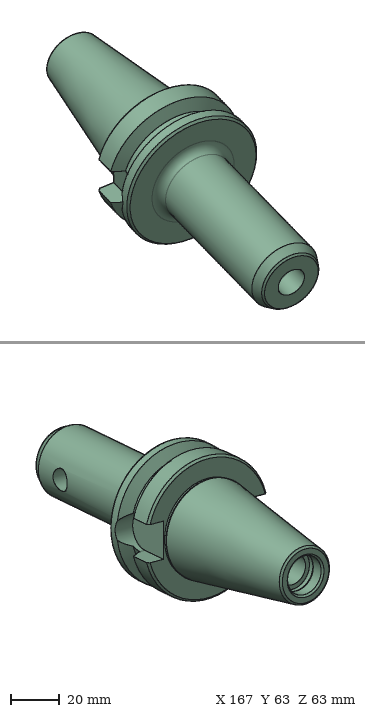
import cadquery as cq
import math

length = 167.0
flange_radius = 63.0 / 2

taper_slope = 7 / 48
gauge_radius = 22.2
taper_end_x = 65.5
nose_chamfer = 0.8
neck_radius = 44.0 / 2
neck_start_x = 66.1

flange_start_x = 67.1
flange_end_x = 92.2
flange_chamfer = 1.0
groove_start_x = 77.2
groove_end_x = 87.0
groove_floor_radius = 26.4
flank_angle = math.radians(60)

shank_radius = 15.9
shank_fillet = 4.0
tip_cone_length = 5.2
tip_cone_angle = math.radians(25)
tip_edge_chamfer = 0.8

slot_width = 16.7
slot_end_x = 88.2
slot_floor_y = 22.5

mouth_radius = 9.4
counterbore_radius = 17.0 / 2
counterbore_depth = 6.2
relief_radius = 17.5 / 2
relief_ramp = 0.7
relief_end_x = 9.2
thread_radius = 13.5 / 2
thread_end_x = 41.8
tool_bore_radius = 12.7 / 2

screw_hole_diameter = 9.7
screw_x = 147.0


def outer_body():
    """Revolve the outside outline about the X axis."""
    nose_radius = gauge_radius - taper_end_x * taper_slope
    chamfered_taper_radius = nose_radius + nose_chamfer * taper_slope
    flank_length = (flange_radius - groove_floor_radius) / math.tan(flank_angle)
    rim_radius = flange_radius - flange_chamfer
    cone_start_x = length - tip_cone_length
    edge_x = length - tip_edge_chamfer
    edge_radius = shank_radius - (edge_x - cone_start_x) * math.tan(tip_cone_angle)
    fillet_mid = shank_fillet * (1 - math.sqrt(0.5))

    outline = (
        cq.Workplane("XY")
        .moveTo(0, 0)
        .lineTo(0, nose_radius - nose_chamfer)
        .lineTo(nose_chamfer, chamfered_taper_radius)
        .lineTo(taper_end_x, gauge_radius)
        .lineTo(neck_start_x, neck_radius)
        .lineTo(flange_start_x, neck_radius)
        .lineTo(flange_start_x, rim_radius)
        .lineTo(flange_start_x + flange_chamfer, flange_radius)
        .lineTo(groove_start_x, flange_radius)
        .lineTo(groove_start_x + flank_length, groove_floor_radius)
        .lineTo(groove_end_x - flank_length, groove_floor_radius)
        .lineTo(groove_end_x, flange_radius)
        .lineTo(flange_end_x - flange_chamfer, flange_radius)
        .lineTo(flange_end_x, rim_radius)
        .lineTo(flange_end_x, shank_radius + shank_fillet)
        .threePointArc(
            (flange_end_x + fillet_mid, shank_radius + fillet_mid),
            (flange_end_x + shank_fillet, shank_radius),
        )
        .lineTo(cone_start_x, shank_radius)
        .lineTo(edge_x, edge_radius)
        .lineTo(length, edge_radius - tip_edge_chamfer)
        .lineTo(length, 0)
        .close()
    )
    return outline.revolve(360, (0, 0, 0), (1, 0, 0))


def axial_bores():
    """Stepped hole running through the whole part."""
    mouth_chamfer = mouth_radius - counterbore_radius
    outline = (
        cq.Workplane("XY")
        .moveTo(0, 0)
        .lineTo(0, mouth_radius)
        .lineTo(mouth_chamfer, counterbore_radius)
        .lineTo(counterbore_depth, counterbore_radius)
        .lineTo(counterbore_depth + relief_ramp, relief_radius)
        .lineTo(relief_end_x, relief_radius)
        .lineTo(relief_end_x, thread_radius)
        .lineTo(thread_end_x, thread_radius)
        .lineTo(thread_end_x, tool_bore_radius)
        .lineTo(length, tool_bore_radius)
        .lineTo(length, 0)
        .close()
    )
    return outline.revolve(360, (0, 0, 0), (1, 0, 0))


def drive_slot(side):
    """Round-ended slot open to the flange face; side is -1 or +1 along Y."""
    half_width = slot_width / 2
    arc_start_x = slot_end_x - half_width
    return (
        cq.Workplane("XZ", origin=(0, side * slot_floor_y, 0))
        .moveTo(taper_end_x, -half_width)
        .lineTo(arc_start_x, -half_width)
        .threePointArc((slot_end_x, 0), (arc_start_x, half_width))
        .lineTo(taper_end_x, half_width)
        .close()
        .extrude(-side * flange_radius)
    )


def screw_hole():
    """Radial hole from the +Y side into the tool bore."""
    return (
        cq.Workplane("XZ", origin=(screw_x, 0, 0))
        .circle(screw_hole_diameter / 2)
        .extrude(-flange_radius)
    )


result = outer_body().cut(axial_bores()).cut(screw_hole())
for slot_side in (-1, 1):
    result = result.cut(drive_slot(slot_side))